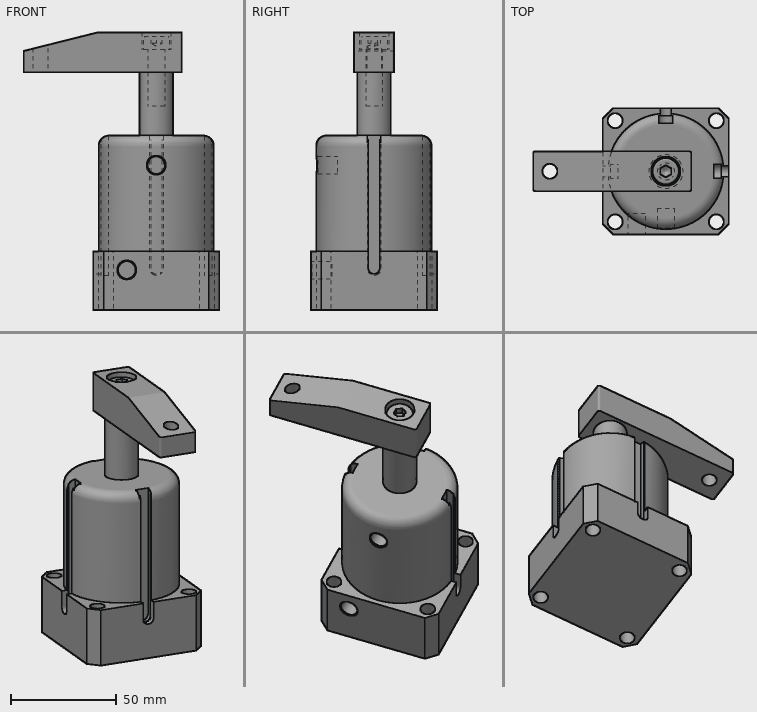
import cadquery as cq
import math

base_side = 60.0
base_height = 28.0
corner_chamfer = 5.0
bolt_offset = 24.0
bolt_hole_diameter = 7.0

barrel_diameter = 55.0
barrel_top = 83.0
barrel_fillet = 5.0

slot_angles = (0, 90, 180)
slot_floor_radius = 22.8
slot_step_radius = 26.4
slot_narrow_width = 5.4
slot_wide_width = 6.5
slot_end_centre_z = 19.9

port_diameter = 8.3
port_mouth_diameter = 9.1
port_depth = 10.0
port_overshoot = 1.3
barrel_port_z = 68.9
base_port_x = -14.0
base_port_z = 19.1

arm_top = 132.0
arm_height = 19.0
arm_width = 19.0
arm_tail_reach = 12.1
overall_length = 93.0
arm_tip_x = base_side / 2 - overall_length
arm_slope_x = -27.9
arm_tip_height = 10.2
arm_corner_radius = 1.0
arm_hole_x = -55.0
arm_hole_diameter = 7.0
arm_bottom = arm_top - arm_height

rod_diameter = 16.1

counterbore_diameter = 14.0
counterbore_depth = 8.0
head_diameter = 12.5
head_recess = 1.8
head_edge = 1.0
shank_diameter = 8.0
shank_depth_in_rod = 15.8
socket_flats = 5.0
socket_depth = 3.0
socket_half_sector = 30
socket_cone_angle = 60
head_top = arm_top - head_recess
head_seat = arm_top - counterbore_depth
shank_end = arm_bottom - shank_depth_in_rod


def upright_cylinder(diameter, bottom, top):
    return cq.Workplane("XY", origin=(0, 0, bottom)).circle(diameter / 2).extrude(top - bottom)


def slot_layer(width, inner_radius, outer_radius):
    """Upright groove with a round lower end, running along +X between two radii."""
    profile = cq.Workplane("YZ", origin=(inner_radius, 0, slot_end_centre_z))
    top_rise = barrel_top - slot_end_centre_z
    return (
        profile.moveTo(-width / 2, top_rise)
        .lineTo(-width / 2, 0)
        .threePointArc((0, -width / 2), (width / 2, 0))
        .lineTo(width / 2, top_rise)
        .close()
        .extrude(outer_radius - inner_radius)
    )


def sensor_slot(angle):
    wide = slot_layer(slot_wide_width, slot_floor_radius, slot_step_radius)
    mouth = slot_layer(slot_narrow_width, slot_step_radius, base_side / 2)
    return wide.union(mouth).rotate((0, 0, 0), (0, 0, 1), angle)


def port(x, z, face_y, straight_mouth):
    """Blind port going in along +Y from face_y; its mouth chamfer starts below straight_mouth."""
    mouth_radius = port_mouth_diameter / 2
    chamfer = mouth_radius - port_diameter / 2
    return (
        cq.Workplane("XY")
        .moveTo(0, -port_overshoot)
        .lineTo(mouth_radius, -port_overshoot)
        .lineTo(mouth_radius, straight_mouth)
        .lineTo(port_diameter / 2, straight_mouth + chamfer)
        .lineTo(port_diameter / 2, port_depth)
        .lineTo(0, port_depth)
        .close()
        .revolve(360, (0, 0, 0), (0, 1, 0))
        .translate((x, face_y, z))
    )


def make_housing():
    base = cq.Workplane("XY").rect(base_side, base_side).extrude(base_height)
    base = base.edges("|Z").chamfer(corner_chamfer)
    bolt_holes = (
        cq.Workplane("XY")
        .rect(2 * bolt_offset, 2 * bolt_offset, forConstruction=True)
        .vertices()
        .circle(bolt_hole_diameter / 2)
        .extrude(base_height)
    )
    barrel = upright_cylinder(barrel_diameter, base_height, barrel_top)
    barrel = barrel.faces(">Z").edges().fillet(barrel_fillet)
    body = base.union(barrel).cut(bolt_holes)
    for angle in slot_angles:
        body = body.cut(sensor_slot(angle))
    barrel_radius = barrel_diameter / 2
    wall_sag = barrel_radius - math.sqrt(barrel_radius**2 - (port_mouth_diameter / 2) ** 2)
    body = body.cut(port(0, barrel_port_z, -barrel_radius, wall_sag))
    return body.cut(port(base_port_x, base_port_z, -base_side / 2, 0))


def make_screw():
    head = upright_cylinder(head_diameter, head_seat, head_top)
    head = head.faces(">Z").edges().fillet(head_edge)
    shank = upright_cylinder(shank_diameter, shank_end, head_seat)
    corner_circle = socket_flats / math.cos(math.radians(socket_half_sector))
    cone_height = corner_circle / 2 / math.tan(math.radians(socket_cone_angle))
    hexagon = (
        cq.Workplane("XY", origin=(0, 0, head_top))
        .polygon(6, corner_circle)
        .extrude(-socket_depth - cone_height)
        .rotate((0, 0, 0), (0, 0, 1), socket_half_sector)
    )
    drilled_hole = (
        cq.Workplane("XZ", origin=(0, 0, head_top))
        .lineTo(corner_circle / 2, 0)
        .lineTo(corner_circle / 2, -socket_depth)
        .lineTo(0, -socket_depth - cone_height)
        .close()
        .revolve(360, (0, 0, 0), (0, 1, 0))
    )
    return head.union(shank).cut(hexagon.intersect(drilled_hole))


def make_rod():
    rod = upright_cylinder(rod_diameter, barrel_top, arm_bottom)
    return rod.cut(upright_cylinder(shank_diameter, shank_end, arm_bottom))


def make_arm():
    arm = (
        cq.Workplane("XZ", origin=(0, arm_width / 2, 0))
        .moveTo(arm_tip_x, arm_bottom)
        .lineTo(arm_tail_reach, arm_bottom)
        .lineTo(arm_tail_reach, arm_top)
        .lineTo(arm_slope_x, arm_top)
        .lineTo(arm_tip_x, arm_bottom + arm_tip_height)
        .close()
        .extrude(arm_width)
        .edges("|Z")
        .fillet(arm_corner_radius)
    )
    tip_hole = upright_cylinder(arm_hole_diameter, arm_bottom, arm_top).translate((arm_hole_x, 0, 0))
    shank_hole = upright_cylinder(shank_diameter, arm_bottom, head_seat)
    counterbore = upright_cylinder(counterbore_diameter, head_seat, arm_top)
    return arm.cut(tip_hole).cut(shank_hole).cut(counterbore)


housing = make_housing()
rod = make_rod()
arm = make_arm()
screw = make_screw()

result = cq.Compound.makeCompound([housing.val(), rod.val(), arm.val(), screw.val()])